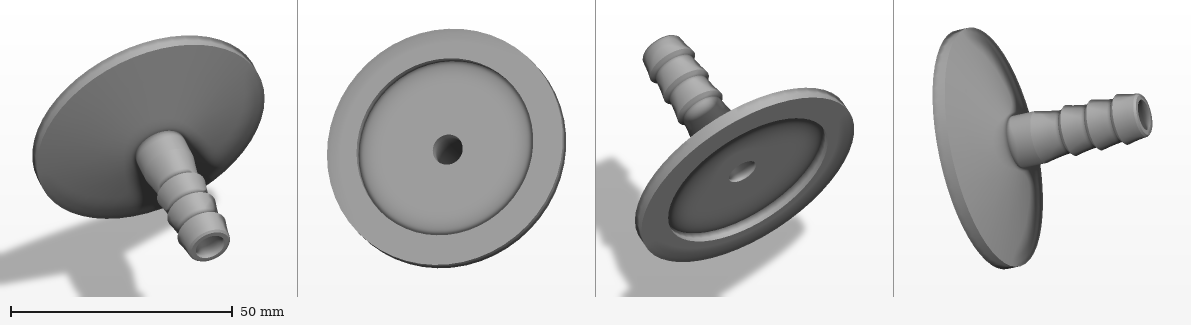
import cadquery as cq
import math

flange_diameter = 55.0
rim_thickness = 3.0
cone_angle = 15.0
recess_diameter = 41.2
recess_depth = 2.5

total_length = 40.0
bore_diameter = 7.0
neck_diameter = 12.0
neck_end = 14.6
crest_diameter = 11.7
valley_diameter = 9.85
barb_count = 3
barb_pitch = 6.37
last_crest = 34.7
barb_face_length = 1.0
barb_sag = 0.1
tip_shoulder_diameter = 10.0
tip_diameter = 9.2
tip_chamfer_length = 0.5

flange_radius = flange_diameter / 2
neck_radius = neck_diameter / 2
crest_radius = crest_diameter / 2
valley_radius = valley_diameter / 2
tip_shoulder = (total_length - tip_chamfer_length, tip_shoulder_diameter / 2)
cone_end = rim_thickness + (flange_radius - neck_radius) * math.tan(math.radians(cone_angle))


def add_flank(profile, start, end):
    """Extend the profile with a slightly hollow barb flank from start to end."""
    middle = ((start[0] + end[0]) / 2, (start[1] + end[1]) / 2 - barb_sag)
    return profile.threePointArc(middle, end)


def make_body():
    """Revolve the outer outline, drawn as (distance along X, radius)."""
    flank_start = (neck_end, neck_radius)
    profile = (
        cq.Workplane("XY")
        .moveTo(0, 0)
        .lineTo(0, flange_radius)
        .lineTo(rim_thickness, flange_radius)
        .lineTo(cone_end, neck_radius)
        .lineTo(*flank_start)
    )
    for index in range(barb_count):
        crest = last_crest - (barb_count - 1 - index) * barb_pitch
        profile = add_flank(profile, flank_start, (crest - barb_face_length, valley_radius))
        flank_start = (crest, crest_radius)
        profile = profile.lineTo(*flank_start)
    profile = add_flank(profile, flank_start, tip_shoulder)
    profile = profile.lineTo(total_length, tip_diameter / 2).lineTo(total_length, 0).close()
    return profile.revolve(360, (0, 0, 0), (1, 0, 0))


def make_cylinder(diameter, length):
    """Cylinder along X starting at the flange face."""
    return cq.Workplane("YZ").circle(diameter / 2).extrude(length)


recess = make_cylinder(recess_diameter, recess_depth)
bore = make_cylinder(bore_diameter, total_length)
result = make_body().cut(recess).cut(bore)